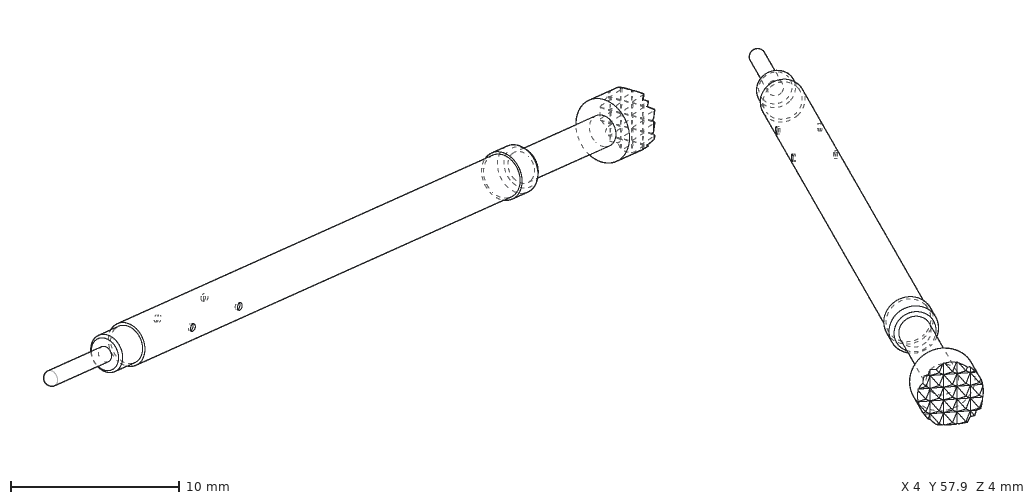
import cadquery as cq

total_length = 57.9
tail_length = 5.75
collar_length = 2.15
body_length = 37.05
flange_length = 1.9
stem_length = 8.05

tail_diameter = 1.0
collar_diameter = 2.4
body_diameter = 2.7
flange_diameter = 3.0
stem_diameter = 1.95
head_diameter = 4.0

tail_dome_height = 0.4
collar_chamfer = 0.2
flange_chamfer_length = 0.35
flange_chamfer_depth = 0.25

tooth_height = 0.7
tooth_pitch = 0.8
groove_count = 6

dimple_diameter = 0.45
dimple_depth = 0.2
dimple_distances_from_body_end = (4.75, 9.4)

tail_tip_y = -total_length / 2
collar_start_y = tail_tip_y + tail_length
body_start_y = collar_start_y + collar_length
flange_start_y = body_start_y + body_length
flange_end_y = flange_start_y + flange_length
head_start_y = flange_end_y + stem_length
tooth_root_y = total_length / 2 - tooth_height


def cylinder(diameter, start_y, end_y):
    """Round bar on the Y axis."""
    plane = cq.Workplane("XZ", origin=(0, start_y, 0))
    return plane.circle(diameter / 2).extrude(start_y - end_y)


def make_tail():
    """Thin pin with a domed tip."""
    radius = tail_diameter / 2
    dome_rim_y = tail_tip_y + tail_dome_height
    pin = cylinder(tail_diameter, dome_rim_y, collar_start_y)
    dome_radius = (radius**2 + tail_dome_height**2) / (2 * tail_dome_height)
    ball = cq.Workplane("XY", origin=(0, tail_tip_y + dome_radius, 0)).sphere(dome_radius)
    return pin.union(ball.intersect(cylinder(tail_diameter, tail_tip_y, dome_rim_y)))


def make_collar():
    """Short neck with a broken edge where the tail leaves it."""
    collar = cylinder(collar_diameter, collar_start_y, body_start_y)
    return collar.faces("<Y").chamfer(collar_chamfer)


def make_flange():
    """Ring at the top of the body, chamfered around the stem."""
    flange = cylinder(flange_diameter, flange_start_y, flange_end_y)
    return flange.faces(">Y").chamfer(flange_chamfer_length, flange_chamfer_depth)


def make_tooth_grooves():
    """V-grooves crossing the head face in X and Z, leaving square pyramids between them."""
    half_pitch = tooth_pitch / 2
    face_y = total_length / 2
    groove = (
        cq.Workplane("XY", origin=(0, 0, -head_diameter / 2))
        .moveTo(-half_pitch, face_y)
        .lineTo(0, tooth_root_y)
        .lineTo(half_pitch, face_y)
        .close()
        .extrude(head_diameter)
    )
    grooves = cq.Workplane("XY")
    for index in range(groove_count):
        offset = (index - (groove_count - 1) / 2) * tooth_pitch
        upright = groove.translate((offset, 0, 0))
        grooves = grooves.add(upright)
        grooves = grooves.add(upright.rotate((0, 0, 0), (0, 1, 0), 90))
    return grooves.combine()


def make_dimples():
    """Blind holes on the -X and +X sides of the body."""
    floor_x = body_diameter / 2 - dimple_depth
    dimples = cq.Workplane("XY")
    for distance in dimple_distances_from_body_end:
        for side in (-1, 1):
            floor_center = (side * floor_x, body_start_y + distance, 0)
            floor_plane = cq.Workplane("YZ", origin=floor_center)
            dimple = floor_plane.circle(dimple_diameter / 2).extrude(side * 2 * dimple_depth)
            dimples = dimples.add(dimple)
    return dimples.combine()


result = make_tail()
result = result.union(make_collar())
result = result.union(cylinder(body_diameter, body_start_y, flange_start_y))
result = result.union(make_flange())
result = result.union(cylinder(stem_diameter, flange_end_y, head_start_y))
result = result.union(cylinder(head_diameter, head_start_y, total_length / 2))
result = result.cut(make_tooth_grooves())
result = result.cut(make_dimples())